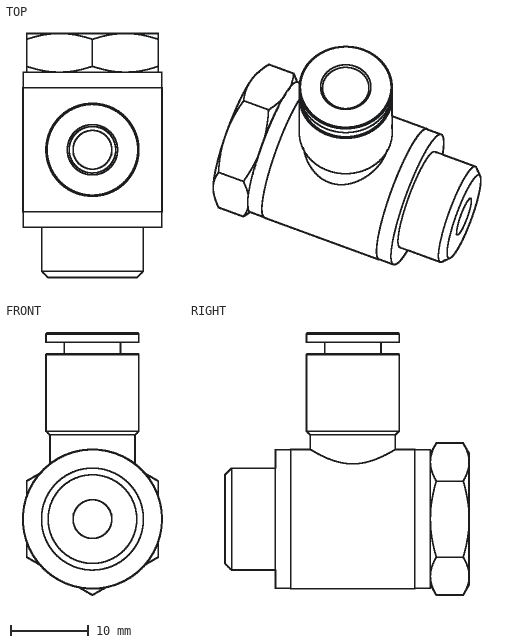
import cadquery as cq
import math


body_diameter = 18.0
body_length = 16.0
washer_diameter = 17.9
washer_thickness = 2.0

hex_across_flats = 17.0
hex_thickness = 5.0
hex_sides = 6
hex_chamfer_angle = 30.0

thread_diameter = 13.16
thread_length = 6.5
thread_chamfer = 0.86

port_top = 24.0
stem_diameter = 11.0
sleeve_diameter = 12.0
sleeve_length = 10.5
sleeve_bottom_chamfer = 0.5
release_neck_diameter = 7.3
release_gap = 1.45
release_flange_diameter = 12.0
release_flange_thickness = 1.2
rim_chamfer = 0.15

passage_diameter = 5.0
tube_socket_diameter = 6.0
tube_socket_depth = 13.0
socket_mouth_chamfer = 0.25
socket_mouth_angle = 45.0

half_body = body_length / 2
washer_end = half_body + washer_thickness
flange_bottom = port_top - release_flange_thickness
sleeve_top = flange_bottom - release_gap
sleeve_bottom = sleeve_top - sleeve_length


def cylinder_y(diameter, y_start, y_end):
    """Cylinder on the bolt axis between two Y positions."""
    base = cq.Workplane("XZ", origin=(0, y_end, 0))
    return base.circle(diameter / 2).extrude(y_end - y_start)


def cylinder_z(diameter, z_start, z_end):
    """Cylinder on the port axis between two Z positions."""
    base = cq.Workplane("XY", origin=(0, 0, z_start))
    return base.circle(diameter / 2).extrude(z_end - z_start)


def make_body():
    """Banjo body with a slightly smaller washer at each end."""
    washers = cylinder_y(washer_diameter, -washer_end, washer_end)
    return washers.union(cylinder_y(body_diameter, -half_body, half_body))


def make_hex_head():
    """Hexagon head with both faces chamfered by a cone."""
    head_end = washer_end + hex_thickness
    across_corners = hex_across_flats / math.cos(math.pi / hex_sides)
    head = (
        cq.Workplane("XZ", origin=(0, head_end, 0))
        .transformed(rotate=(0, 0, 90))
        .polygon(hex_sides, across_corners)
        .extrude(hex_thickness)
    )
    corner_radius = across_corners / 2
    face_radius = hex_across_flats / 2
    chamfer_height = (corner_radius - face_radius) * math.tan(math.radians(hex_chamfer_angle))
    envelope = (
        cq.Workplane("XY")
        .moveTo(0, washer_end)
        .lineTo(face_radius, washer_end)
        .lineTo(corner_radius, washer_end + chamfer_height)
        .lineTo(corner_radius, head_end - chamfer_height)
        .lineTo(face_radius, head_end)
        .lineTo(0, head_end)
        .close()
        .revolve(360, (0, 0, 0), (0, 1, 0))
    )
    return head.intersect(envelope)


def make_threaded_end():
    """Plain threaded end with a chamfered tip."""
    end = cylinder_y(thread_diameter, -washer_end - thread_length, -washer_end)
    return end.faces("<Y").chamfer(thread_chamfer)


def make_port():
    """Stem, sleeve and release collar stacked on the port axis."""
    stem = cylinder_z(stem_diameter, 0, sleeve_bottom)
    sleeve = cylinder_z(sleeve_diameter, sleeve_bottom, sleeve_top)
    sleeve = sleeve.faces(">Z").chamfer(rim_chamfer)
    sleeve = sleeve.faces("<Z").chamfer(sleeve_bottom_chamfer)
    neck = cylinder_z(release_neck_diameter, sleeve_top, flange_bottom)
    flange = cylinder_z(release_flange_diameter, flange_bottom, port_top)
    flange = flange.faces(">Z").chamfer(rim_chamfer)
    return stem.union(sleeve).union(neck).union(flange)


def make_passages():
    """Bolt and port passages meeting in a spherical corner, with the tube socket above."""
    bolt_passage = cylinder_y(passage_diameter, -washer_end - thread_length, 0)
    port_passage = cylinder_z(passage_diameter, 0, port_top)
    corner = cq.Workplane("XY").sphere(passage_diameter / 2)
    socket = cylinder_z(tube_socket_diameter, port_top - tube_socket_depth, port_top)
    mouth_radius = tube_socket_diameter / 2 + socket_mouth_chamfer
    mouth = (
        cq.Workplane("XY", origin=(0, 0, port_top))
        .circle(mouth_radius)
        .extrude(-socket_mouth_chamfer, taper=socket_mouth_angle)
    )
    return bolt_passage.union(port_passage).union(corner).union(socket).union(mouth)


solid_fitting = make_body().union(make_hex_head()).union(make_threaded_end()).union(make_port())
result = solid_fitting.cut(make_passages())